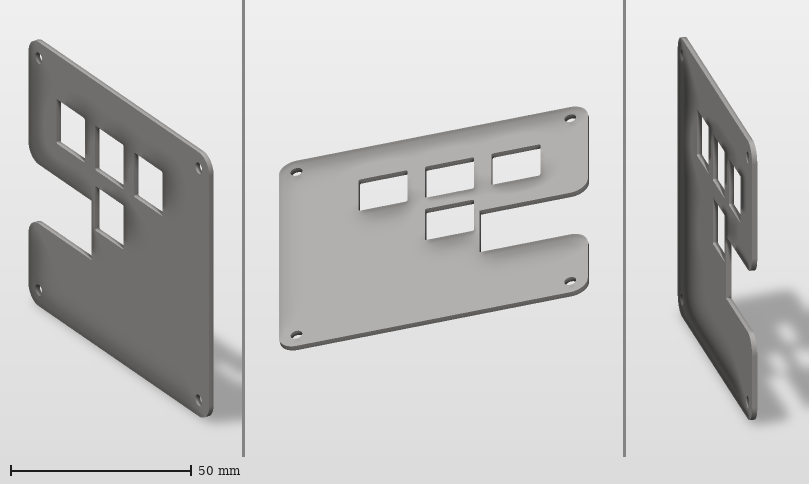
import cadquery as cq

plate_width = 88.4
plate_height = 83.2
plate_thickness = 1.5
corner_radius = 5.0

notch_depth = 30.9
notch_bottom = 26.0
notch_height = 18.65

hole_diameter = 3.4
hole_inset = corner_radius

key_size = 14.0
key_pitch = 19.0
key_corner_radius = 0.5
middle_key_x = 39.6
key_row_z = plate_height - 21.0
key_centers = [
    (middle_key_x - key_pitch, key_row_z),
    (middle_key_x, key_row_z),
    (middle_key_x + key_pitch, key_row_z),
    (middle_key_x, key_row_z - key_pitch),
]


def extrude_through(sketch):
    """Extrude an XZ sketch from Y = 0 to the plate thickness."""
    return sketch.extrude(-plate_thickness)


def make_plate():
    """Plate with a side notch; the corners on the left and right edges are rounded."""
    notch_top = notch_bottom + notch_height
    outline = (
        cq.Workplane("XZ")
        .moveTo(0, 0)
        .lineTo(plate_width, 0)
        .lineTo(plate_width, plate_height)
        .lineTo(0, plate_height)
        .lineTo(0, notch_top)
        .lineTo(notch_depth, notch_top)
        .lineTo(notch_depth, notch_bottom)
        .lineTo(0, notch_bottom)
        .close()
    )
    plate = extrude_through(outline)
    left_corners = plate.edges("|Y").edges("<X")
    right_corners = plate.edges("|Y").edges(">X")
    return plate.newObject(left_corners.vals() + right_corners.vals()).fillet(corner_radius)


def make_mounting_holes():
    centers = [
        (x, z)
        for x in (hole_inset, plate_width - hole_inset)
        for z in (hole_inset, plate_height - hole_inset)
    ]
    return extrude_through(cq.Workplane("XZ").pushPoints(centers).circle(hole_diameter / 2))


def make_key_cutouts():
    squares = cq.Workplane("XZ").pushPoints(key_centers).rect(key_size, key_size)
    return extrude_through(squares).edges("|Y").fillet(key_corner_radius)


result = make_plate().cut(make_mounting_holes()).cut(make_key_cutouts())